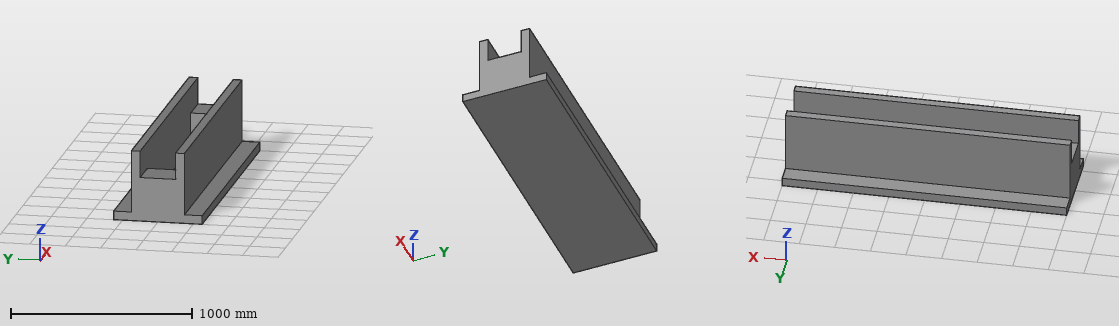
import cadquery as cq

length = 1600.0
base_width = 500.0
height = 400.0
base_thickness = 50.0
channel_width = 200.0
wall_thickness = 50.0
end_block_length = 200.0
end_block_top = 250.0

body_width = channel_width + 2 * wall_thickness
pocket_length = length - 2 * end_block_length


def box_between(size_x, size_y, bottom, top):
    """Box centred on the Z axis, spanning the given heights."""
    return (
        cq.Workplane("XY")
        .workplane(offset=bottom)
        .rect(size_x, size_y)
        .extrude(top - bottom)
    )


base = box_between(length, base_width, 0, base_thickness)
body = box_between(length, body_width, 0, height)

channel = box_between(length, channel_width, end_block_top, height)

pocket = box_between(pocket_length, channel_width, base_thickness, height)

result = base.union(body).cut(channel).cut(pocket)